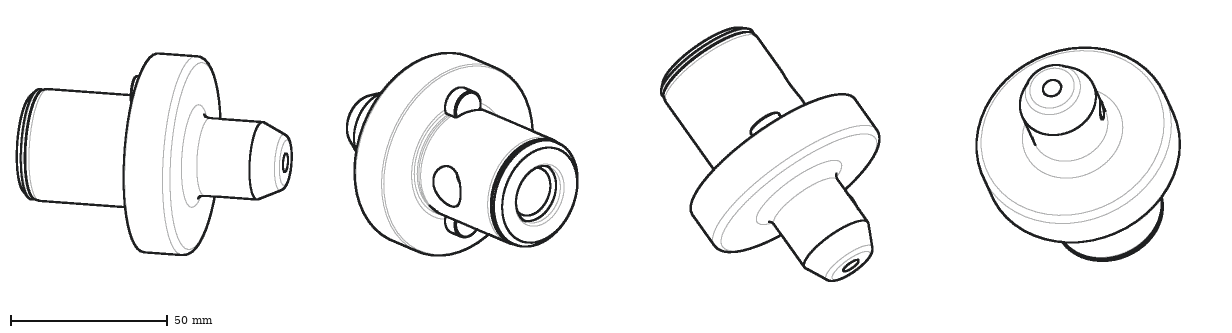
import cadquery as cq
import math

total_length = 85.0
flange_face_x = 39.95
flange_thickness = 15.05
flange_back_x = flange_face_x + flange_thickness

shank_radius = 18.0
tip_radius = 17.8
tip_chamfer = 1.9
tip_land_end_x = 2.3
tip_groove_radius = 17.6
tip_groove_end_x = 3.15
lead_start_x = 3.4
lead_end_x = 4.7

undercut_start_x = 37.5
undercut_floor_x = 38.8
undercut_depth = 0.3
undercut_radius = shank_radius - undercut_depth
undercut_round_start_x = 39.5
undercut_rim_radius = 19.7
undercut_face_depth = 0.25
undercut_round = flange_face_x + undercut_face_depth - undercut_round_start_x

flange_radius = 64.0 / 2
front_round = 0.5
back_round = 1.95

nose_radius = 12.5
neck_round = 4.0
nose_cone_start_x = 76.5
nose_cone_angle = math.radians(25)
nose_tip_round = 1.95

mouth_radius = 9.5
mouth_round = 0.85
mouth_depth = 3.0
bore_radius = 8.0
bore_start_x = 4.0
bore_depth = 39.95
channel_radius = 3.0
drill_half_angle = math.radians(59)

clamp_hole_x = 24.6
clamp_hole_radius = 6.7

screw_x = 67.5
screw_radius = 3.0
screw_inner_y = 1.8
screw_length = 10.6

key_radius = 5.5
key_center_z = 19.5
key_length = 5.0
key_chamfer = 0.3
key_clearance_radius = 18.3


def arc_middle(center, radius, angle):
    """Point on a circle in the profile plane, at an angle from the axis."""
    return (center[0] + radius * math.cos(angle), center[1] + radius * math.sin(angle))


def revolve_about_x(profile):
    return profile.close().revolve(360, (0, 0, 0), (1, 0, 0))


def cylinder_along_y(x, radius, start_y, length):
    """Cylinder that runs from start_y toward +Y."""
    return cq.Workplane("XZ", origin=(x, start_y, 0)).circle(radius).extrude(-length)


def make_outer_form():
    undercut_round_center = (undercut_round_start_x, undercut_radius + undercut_round)
    front_round_center = (flange_face_x + front_round, flange_radius - front_round)
    back_round_center = (flange_back_x - back_round, flange_radius - back_round)
    neck_end_x = flange_back_x + neck_round
    neck_center = (neck_end_x, nose_radius + neck_round)

    tip_center_x = total_length - nose_tip_round
    tangent_x = tip_center_x + nose_tip_round * math.sin(nose_cone_angle)
    tangent_radius = nose_radius - (tangent_x - nose_cone_start_x) * math.tan(nose_cone_angle)
    tip_center = (tip_center_x, tangent_radius - nose_tip_round * math.cos(nose_cone_angle))
    tip_middle_angle = (math.pi / 2 - nose_cone_angle) / 2

    profile = (
        cq.Workplane("XY")
        .lineTo(0, tip_radius - tip_chamfer)
        .lineTo(tip_chamfer, tip_radius)
        .lineTo(tip_land_end_x, tip_radius)
        .lineTo(tip_groove_end_x, tip_groove_radius)
        .lineTo(lead_start_x, tip_radius)
        .lineTo(lead_end_x, shank_radius)
        .lineTo(undercut_start_x, shank_radius)
        .lineTo(undercut_floor_x, undercut_radius)
        .lineTo(undercut_round_start_x, undercut_radius)
        .threePointArc(
            arc_middle(undercut_round_center, undercut_round, -math.pi / 4),
            (flange_face_x + undercut_face_depth, undercut_radius + undercut_round),
        )
        .lineTo(flange_face_x, undercut_rim_radius)
        .lineTo(flange_face_x, flange_radius - front_round)
        .threePointArc(
            arc_middle(front_round_center, front_round, 3 * math.pi / 4),
            (flange_face_x + front_round, flange_radius),
        )
        .lineTo(flange_back_x - back_round, flange_radius)
        .threePointArc(
            arc_middle(back_round_center, back_round, math.pi / 4),
            (flange_back_x, flange_radius - back_round),
        )
        .lineTo(flange_back_x, nose_radius + neck_round)
        .threePointArc(
            arc_middle(neck_center, neck_round, -3 * math.pi / 4),
            (neck_end_x, nose_radius),
        )
        .lineTo(nose_cone_start_x, nose_radius)
        .lineTo(tangent_x, tangent_radius)
        .threePointArc(
            arc_middle(tip_center, nose_tip_round, tip_middle_angle),
            (total_length, tip_center[1]),
        )
        .lineTo(total_length, 0)
    )
    return revolve_about_x(profile)


def make_bore():
    """Stepped bore with a rounded mouth, a drilled cone and a narrow through channel."""
    mouth_center = (mouth_round, mouth_radius + mouth_round)
    drill_cone_length = (bore_radius - channel_radius) / math.tan(drill_half_angle)
    profile = (
        cq.Workplane("XY")
        .lineTo(0, mouth_radius + mouth_round)
        .threePointArc(
            arc_middle(mouth_center, mouth_round, -3 * math.pi / 4),
            (mouth_round, mouth_radius),
        )
        .lineTo(mouth_depth, mouth_radius)
        .lineTo(bore_start_x, bore_radius)
        .lineTo(bore_depth, bore_radius)
        .lineTo(bore_depth + drill_cone_length, channel_radius)
        .lineTo(total_length, channel_radius)
        .lineTo(total_length, 0)
    )
    return revolve_about_x(profile)


def make_adapter():
    clamp_hole = cylinder_along_y(clamp_hole_x, clamp_hole_radius, 0, flange_radius)
    screw_hole = cylinder_along_y(screw_x, screw_radius, 0, flange_radius)
    return make_outer_form().cut(make_bore()).cut(clamp_hole).cut(screw_hole)


def make_set_screw():
    return cylinder_along_y(screw_x, screw_radius, screw_inner_y, screw_length)


def make_key(side):
    """Round key standing on the flange face, hollowed to clear the shank; side is +1 or -1 in Z."""
    key_front_x = flange_face_x - key_length
    key = (
        cq.Workplane("YZ", origin=(key_front_x, 0, side * key_center_z))
        .circle(key_radius)
        .extrude(key_length)
        .faces("<X")
        .chamfer(key_chamfer)
    )
    shank_clearance = (
        cq.Workplane("YZ", origin=(key_front_x, 0, 0)).circle(key_clearance_radius).extrude(key_length)
    )
    return key.cut(shank_clearance)


adapter = make_adapter()
set_screw = make_set_screw()
keys = [make_key(side).val() for side in (1, -1)]

result = cq.Compound.makeCompound([adapter.val(), set_screw.val(), *keys])